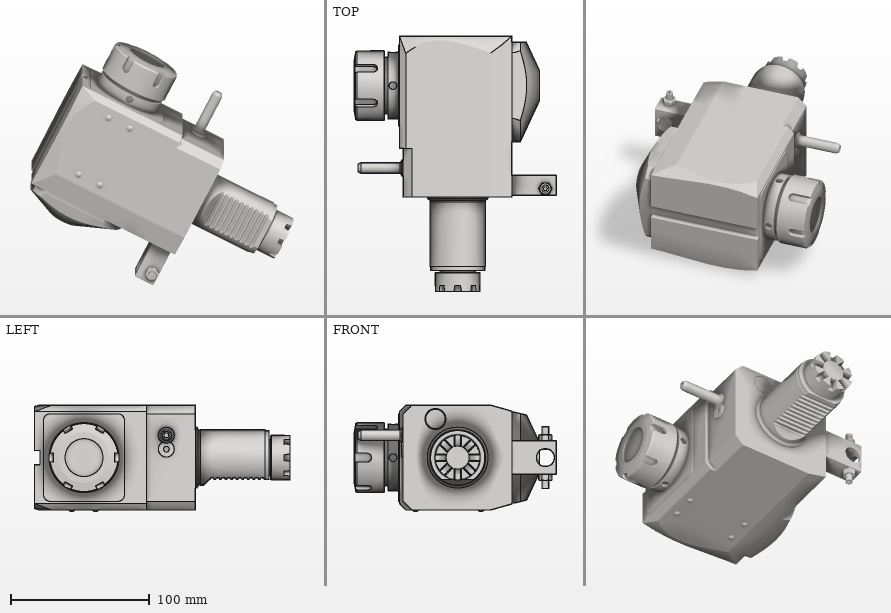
import cadquery as cq
import math


body_left = -42.0
body_right = 39.0
body_depth = 116.0
body_half_height = 37.7
left_chamfer = 4.6
taper_start = 24.0
taper_drop = 4.2
step_left = -39.2
step_depth = 35.1
step_chamfer = 6.3
rear_bevel_slope = 0.28
rear_bevel_reach = 22.0
rear_crown = [(body_left, 33.1), (-27.6, 35.9), (-15.0, 36.8), (1.8, 36.2), (body_right, 33.5)]
rear_slot_width = 10.1
rear_slot_depth = 3.9
face_disc_x = -16.0
face_disc_z = 27.8
face_disc_radius = 7.5
face_disc_groove = 0.5

shank_radius = 20.0
shank_length = 53.0
shank_end_radius = 19.5
shank_end_band = 3.0
flange_radius = 21.9
flange_rim = 1.0
flange_length = 2.4
relief_length = 1.1
relief_depth = 0.2
flat_height = -15.8
flat_start = -10.0
rack_count = 10
rack_first = -12.0
rack_last = -48.0
rack_depth = 1.3
rack_root_width = 1.8
rack_mouth_width = 3.1
neck_radius = 12.9
pinion_radius = 16.2
pinion_start = -54.1
pinion_end = -68.0
pinion_chamfer = 0.5
pinion_hub_radius = 8.3
pinion_slots = 8
pinion_slot_depth = 4.5
pinion_slot_root = 4.0
pinion_slot_mouth = 5.5

spindle_y = 80.2
seat_width = 58.1
seat_height = 63.0
seat_corner = 4.6
seat_rise = 0.5
collar_radius = 24.1
collar_left = -50.0
collar_hole_radius = 2.8
collar_hole_x = -46.5
collar_hole_depth = 2.8
collar_hole_count = 4
groove_radius = 20.6
nut_radius = 25.2
nut_right = -52.6
nut_chamfer = 0.5
nut_left = -74.5
nut_shoulder_x = -72.3
nut_rim_x = -73.5
nut_rim_radius = 24.5
nut_face_radius = 18.2
collet_radius = 13.6
collet_recess = 1.8
nut_slot_count = 6
nut_slot_width = 6.3
nut_slot_floor = 21.9
nut_slot_end = -62.0
nut_long_slot_end = -57.8

cap_radius = 40.5
cap_tip_radius = 10.5
cap_cone_x = 45.0
cap_tip_x = 59.0
cap_rear_flat = 31.3
cap_flat_height = 32.8
cap_slant_x = 41.0
cap_slant_slope = 0.25

arm_right = 71.0
arm_front = 1.1
arm_back = 15.8
arm_half_height = 12.3
arm_chamfer = 0.4
arm_hole_x = 63.1
arm_hole_radius = 6.5
arm_end_hole_radius = 5.0
arm_pin_tip = 59.0
set_screw_y = 6.0
set_screw_radius = 2.5
set_screw_top = 22.3
set_screw_tip = 5.9
set_screw_socket = 2.8
set_screw_key = 3.0
set_nut_across_corners = 9.5
set_nut_height = 4.2
set_nut_chamfer = 0.7

pin_y = 21.0
pin_z = 16.0
pin_radius = 3.9
pin_tip = -71.8
pin_chamfer = 2.2
pin_head_radius = 5.7
pin_head_length = 2.2
pin_head_rim = 1.0
pin_key = 3.7
pin_key_depth = 3.7
plug_z = 6.0
plug_radius = 5.7
plug_rise = 1.1
plug_key = 4.5
plug_key_depth = 1.0

stud_xs = (-30.4, 16.7)
stud_ys = (72.0, 89.0)
stud_radius = 2.4
stud_tip_radius = 0.7
stud_height = 1.1

overlap = 1.8


def box(x0, x1, y0, y1, z0, z1):
    return cq.Workplane("XY").box(x1 - x0, y1 - y0, z1 - z0, centered=False).translate((x0, y0, z0))


def turned_x(points, y, z):
    """Solid turned about an X-parallel axis; points are (X, radius) and start and end on the axis."""
    profile = cq.Workplane("XY").polyline(points).close()
    return profile.revolve(360, (0, 0, 0), (1, 0, 0)).translate((0, y, z))


def turned_y(points):
    """Solid turned about the Y axis; points are (Y, radius) and start and end on the axis."""
    profile = cq.Workplane("XY").polyline([(r, y) for y, r in points]).close()
    return profile.revolve(360, (0, 0, 0), (0, 1, 0))


def plane_x(x, y, z):
    """Sketch plane facing +X whose local axes are Y and Z."""
    return cq.Workplane(cq.Plane((x, y, z), (0, 1, 0), (1, 0, 0)))


def body_section(left, chamfer, y_start, y_end):
    h = body_half_height
    points = [
        (left + chamfer, h),
        (taper_start, h),
        (body_right, h - taper_drop),
        (body_right, taper_drop - h),
        (taper_start, -h),
        (left + chamfer, -h),
        (left, chamfer - h),
        (left, h - chamfer),
    ]
    section = cq.Workplane("XZ", origin=(0, y_start, 0)).polyline(points).close()
    return section.extrude(y_start - y_end)


def rear_bevel():
    """Cutter above the crowned rear edge, swept obliquely forwards and upwards."""
    top = 2 * body_half_height
    start = cq.Vector(rear_crown[0][0], body_depth, rear_crown[0][1])
    crown = cq.Edge.makeSpline([cq.Vector(x, body_depth, z) for x, z in rear_crown])
    end = crown.endPoint()
    corners = [end, cq.Vector(end.x, end.y, top), cq.Vector(start.x, start.y, top), start]
    sides = [cq.Edge.makeLine(a, b) for a, b in zip(corners, corners[1:])]
    outline = cq.Wire.assembleEdges([crown] + sides)
    direction = cq.Vector(0, -rear_bevel_reach, rear_bevel_reach * rear_bevel_slope)
    return cq.Workplane(cq.Solid.extrudeLinear(outline, [], direction))


def make_body():
    front = body_section(step_left, step_chamfer, 0, step_depth)
    body = front.union(body_section(body_left, left_chamfer, step_depth, body_depth))
    bevel = rear_bevel()
    body = body.cut(bevel).cut(bevel.mirror("XY"))
    half = rear_slot_width / 2
    body = body.cut(box(body_left, body_right, body_depth - rear_slot_depth, body_depth, -half, half))
    disc_plane = cq.Workplane("XZ", origin=(face_disc_x, 0, face_disc_z))
    groove = disc_plane.circle(face_disc_radius).circle(face_disc_radius - face_disc_groove)
    return body.cut(groove.extrude(-face_disc_groove))


def make_shank():
    relief_end = flange_length + relief_length
    relief_radius = shank_radius - relief_depth
    shank = turned_y([
        (overlap, 0),
        (overlap, flange_radius),
        (-flange_rim, flange_radius),
        (-flange_length, relief_radius),
        (-relief_end, relief_radius),
        (-relief_end, shank_radius),
        (shank_end_band - shank_length, shank_radius),
        (shank_end_band - shank_length, shank_end_radius),
        (-shank_length, shank_end_radius),
        (-shank_length, 0),
    ])
    low = -shank_radius - overlap
    ramp_start = flat_start + flat_height - low
    flat = cq.Workplane("YZ", origin=(-flange_radius, 0, 0)).polyline([
        (flat_start, flat_height),
        (-shank_length, flat_height),
        (-shank_length, low),
        (ramp_start, low),
    ]).close().extrude(2 * flange_radius)
    shank = shank.cut(flat)
    rack_pitch = (rack_first - rack_last) / (rack_count - 1)
    for i in range(rack_count):
        y = rack_first - i * rack_pitch
        tooth_gap = cq.Workplane("YZ", origin=(-flange_radius, 0, 0)).polyline([
            (y - rack_mouth_width / 2, flat_height),
            (y - rack_root_width / 2, flat_height + rack_depth),
            (y + rack_root_width / 2, flat_height + rack_depth),
            (y + rack_mouth_width / 2, flat_height),
        ]).close().extrude(2 * flange_radius)
        shank = shank.cut(tooth_gap)
    return shank


def make_pinion():
    pinion = turned_y([
        (overlap - shank_length, 0),
        (overlap - shank_length, neck_radius),
        (pinion_start, neck_radius),
        (pinion_start, pinion_radius - pinion_chamfer),
        (pinion_start - pinion_chamfer, pinion_radius),
        (pinion_end, pinion_radius),
        (pinion_end, 0),
    ])
    root_y = pinion_end + pinion_slot_depth
    slot = cq.Workplane("XY").polyline([
        (-pinion_slot_mouth / 2, pinion_end),
        (-pinion_slot_root / 2, root_y),
        (pinion_slot_root / 2, root_y),
        (pinion_slot_mouth / 2, pinion_end),
    ]).close().extrude(pinion_radius + overlap)
    hub = cq.Workplane("XZ", origin=(0, root_y, 0)).circle(pinion_hub_radius).extrude(pinion_slot_depth)
    slot = slot.cut(hub)
    for i in range(pinion_slots):
        pinion = pinion.cut(slot.rotate((0, 0, 0), (0, 1, 0), i * 360 / pinion_slots))
    return pinion


def nut_slot(end_x):
    """Round-ended spanner slot on the +Z side of an X-axis nut, open at the nut's left face."""
    half = nut_slot_width / 2
    outline = (
        cq.Workplane("XY", origin=(0, 0, nut_slot_floor))
        .moveTo(nut_left - overlap, -half)
        .lineTo(end_x - half, -half)
        .threePointArc((end_x, 0), (end_x - half, half))
        .lineTo(nut_left - overlap, half)
        .close()
    )
    return outline.extrude(nut_radius)


def make_spindle():
    seat = plane_x(body_left - seat_rise, spindle_y, 0).rect(seat_width, seat_height)
    seat = seat.extrude(seat_rise + overlap).edges("|X").fillet(seat_corner)
    spindle = turned_x([
        (body_left + overlap, 0),
        (body_left + overlap, collar_radius),
        (collar_left, collar_radius),
        (collar_left, groove_radius),
        (nut_right, groove_radius),
        (nut_right, nut_radius - nut_chamfer),
        (nut_right - nut_chamfer, nut_radius),
        (nut_shoulder_x, nut_radius),
        (nut_rim_x, nut_rim_radius),
        (nut_left, nut_face_radius),
        (nut_left, collet_radius),
        (nut_left + collet_recess, collet_radius),
        (nut_left + collet_recess, 0),
    ], 0, 0)
    for i in range(collar_hole_count):
        floor = (collar_hole_x, 0, collar_radius - collar_hole_depth)
        hole = cq.Workplane("XY", origin=floor).circle(collar_hole_radius).extrude(collar_radius)
        spindle = spindle.cut(hole.rotate((0, 0, 0), (1, 0, 0), i * 360 / collar_hole_count))
    for i in range(nut_slot_count):
        angle = (i + 0.5) * 360 / nut_slot_count
        is_upper = math.cos(math.radians(angle)) > 0.5
        slot = nut_slot(nut_long_slot_end if is_upper else nut_slot_end)
        spindle = spindle.cut(slot.rotate((0, 0, 0), (1, 0, 0), angle))
    return spindle.translate((0, spindle_y, 0)).union(seat)


def make_cap():
    cap = turned_x([
        (body_right - overlap, 0),
        (body_right - overlap, cap_radius),
        (cap_cone_x, cap_radius),
        (cap_tip_x, cap_tip_radius),
        (cap_tip_x, 0),
    ], spindle_y, 0)
    slant_drop = cap_slant_slope * (cap_tip_x - cap_slant_x)
    slanted_sides = cq.Workplane("XZ", origin=(0, spindle_y + cap_rear_flat, 0)).polyline([
        (body_right - overlap, cap_flat_height),
        (cap_slant_x, cap_flat_height),
        (cap_tip_x, cap_flat_height - slant_drop),
        (cap_tip_x, slant_drop - cap_flat_height),
        (cap_slant_x, -cap_flat_height),
        (body_right - overlap, -cap_flat_height),
    ]).close().extrude(cap_rear_flat + cap_radius)
    return cap.intersect(slanted_sides)


def make_arm():
    h = arm_half_height
    arm = box(body_right - overlap, arm_right, arm_front, arm_back, -h, h)
    arm = arm.edges("|X or >X").chamfer(arm_chamfer)
    bore = cq.Workplane("XZ", origin=(arm_hole_x, arm_back, 0)).circle(arm_hole_radius)
    arm = arm.cut(bore.extrude(arm_back - arm_front))
    arm_middle = (arm_front + arm_back) / 2
    end_hole = plane_x(arm_hole_x, arm_middle, 0).circle(arm_end_hole_radius)
    arm = arm.cut(end_hole.extrude(arm_right - arm_hole_x))
    pin_start = arm_hole_x - arm_hole_radius - overlap
    pin = plane_x(pin_start, arm_middle, 0).circle(arm_end_hole_radius)
    arm = arm.union(pin.extrude(arm_pin_tip - pin_start))
    screw_base = cq.Workplane("XY", origin=(arm_hole_x, set_screw_y, set_screw_tip))
    screw = screw_base.circle(set_screw_radius).extrude(set_screw_top - set_screw_tip)
    nut_base = cq.Workplane("XY", origin=(arm_hole_x, set_screw_y, h - overlap))
    nut_length = set_nut_height + overlap
    nut_envelope = nut_base.circle(set_nut_across_corners / 2).extrude(nut_length)
    nut_envelope = nut_envelope.faces(">Z").chamfer(set_nut_chamfer)
    set_nut = nut_base.polygon(6, set_nut_across_corners).extrude(nut_length).intersect(nut_envelope)
    screw = screw.union(set_nut)
    screw = screw.faces(">Z").workplane().polygon(6, set_screw_key).cutBlind(-set_screw_socket)
    return arm.union(screw).union(screw.mirror("XY"))


def make_pin_and_plug():
    pin = turned_x([
        (step_left + overlap, 0),
        (step_left + overlap, pin_head_radius),
        (step_left - pin_head_rim, pin_head_radius),
        (step_left - pin_head_length, pin_radius),
        (pin_tip + pin_chamfer, pin_radius),
        (pin_tip, pin_radius - pin_chamfer / 2),
        (pin_tip, 0),
    ], pin_y, pin_z)
    pin = pin.cut(plane_x(pin_tip, pin_y, pin_z).polygon(6, pin_key).extrude(pin_key_depth))
    plug_plane = plane_x(step_left - plug_rise, pin_y, plug_z)
    plug = plug_plane.circle(plug_radius).extrude(plug_rise + overlap)
    plug = plug.cut(plug_plane.polygon(6, plug_key).extrude(plug_key_depth))
    return plug.union(pin)


def make_stud(x, y):
    profile = cq.Workplane("XZ").polyline([
        (0, overlap),
        (stud_radius, overlap),
        (stud_radius, 0),
        (stud_tip_radius, -stud_height),
        (0, -stud_height),
    ]).close()
    return profile.revolve(360, (0, 0, 0), (0, 1, 0)).translate((x, y, -body_half_height))


result = make_body()
for piece in (make_shank(), make_pinion(), make_spindle(), make_cap(), make_arm(), make_pin_and_plug()):
    result = result.union(piece)
for stud_x in stud_xs:
    for stud_y in stud_ys:
        result = result.union(make_stud(stud_x, stud_y))